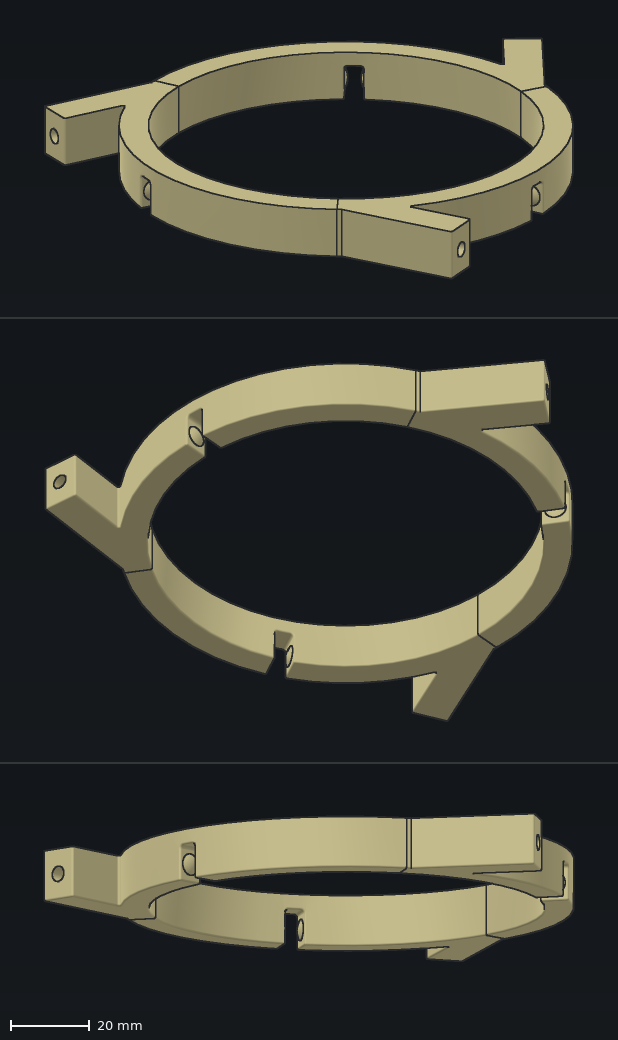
import cadquery as cq
import math

SEGMENT_COUNT = 3
SEGMENT_ANGLE = 360 / SEGMENT_COUNT
OUTER_DIAMETER = 115.0
INNER_DIAMETER = 100.0
HEIGHT = 13.0
FIRST_SEAM_ANGLE = 180

ARM_WIDTH = 9.9
ARM_LENGTH = 31.8
ARM_ANGLE = 26.5
ARM_OFFSET = 1.2
CROTCH_RADIUS = 0.5
ARM_HOLE_DIAMETER = 3.9
ARM_HOLE_DEPTH = 20.1

SLOT_WIDTH = 5.0
SLOT_HEIGHT = 9.1
SLOT_CORNER_RADIUS = 1.0

EDGE_RADIUS = 0.5

BUMP_DIAMETER = 5.5
BUMP_HEIGHT = 0.8

OUTER_RADIUS = OUTER_DIAMETER / 2
INNER_RADIUS = INNER_DIAMETER / 2
MIDDLE_RADIUS = (OUTER_RADIUS + INNER_RADIUS) / 2
RING_THICKNESS = OUTER_RADIUS - INNER_RADIUS
BUMP_CENTRE_HEIGHT = SLOT_HEIGHT / 2
BUMP_SPHERE_RADIUS = ((BUMP_DIAMETER / 2) ** 2 + BUMP_HEIGHT ** 2) / (2 * BUMP_HEIGHT)
TOLERANCE = 0.001


def polar(radius, angle):
    """Point at a radius and an angle in degrees around the ring axis."""
    return (radius * math.cos(math.radians(angle)), radius * math.sin(math.radians(angle)))


def offset_point(point, direction, distance):
    """Point moved by a distance along a direction."""
    return (point[0] + direction[0] * distance, point[1] + direction[1] * distance)


ALONG_ARM = polar(1, 90 - ARM_ANGLE)
ACROSS_ARM = polar(1, 180 - ARM_ANGLE)
ARM_ROOT = (math.sqrt(OUTER_RADIUS ** 2 - ARM_OFFSET ** 2), ARM_OFFSET)
ARM_TIP = offset_point(ARM_ROOT, ALONG_ARM, ARM_LENGTH)


def ring_sector():
    """Plain part of the ring from the +X axis to the next seam."""
    half_angle = SEGMENT_ANGLE / 2
    return (
        cq.Workplane("XY")
        .moveTo(*polar(INNER_RADIUS, 0))
        .lineTo(*polar(OUTER_RADIUS, 0))
        .threePointArc(polar(OUTER_RADIUS, half_angle), polar(OUTER_RADIUS, SEGMENT_ANGLE))
        .lineTo(*polar(INNER_RADIUS, SEGMENT_ANGLE))
        .threePointArc(polar(INNER_RADIUS, half_angle), polar(INNER_RADIUS, 0))
        .close()
        .extrude(HEIGHT)
    )


def arm():
    """Straight bar with a rounded tip, whose root is buried in the ring but stays clear of the bore."""
    inner_tip = offset_point(ARM_TIP, ACROSS_ARM, ARM_WIDTH)
    inner_root = offset_point(ARM_ROOT, ACROSS_ARM, ARM_WIDTH)
    bar = cq.Workplane("XY").polyline([ARM_ROOT, ARM_TIP, inner_tip, inner_root]).close().extrude(HEIGHT)
    for x, y in (ARM_TIP, inner_tip):
        bar = bar.edges(cq.NearestToPointSelector((x, y, HEIGHT / 2))).fillet(EDGE_RADIUS)
    bore = cq.Workplane("XY").circle(MIDDLE_RADIUS).extrude(HEIGHT)
    return bar.cut(bore)


def crotch_edge(body):
    """Upright edge where the inner side of the arm meets the outer wall."""
    side_start = offset_point(ARM_ROOT, ACROSS_ARM, ARM_WIDTH)
    along = side_start[0] * ALONG_ARM[0] + side_start[1] * ALONG_ARM[1]
    gap = OUTER_RADIUS ** 2 - side_start[0] ** 2 - side_start[1] ** 2
    reach = -along + math.sqrt(along ** 2 + gap)
    x, y = offset_point(side_start, ALONG_ARM, reach)
    return body.edges(cq.NearestToPointSelector((x, y, HEIGHT / 2)))


def arm_hole():
    """Blind hole along the arm, in the middle of its end face."""
    x, y = offset_point(ARM_TIP, ACROSS_ARM, ARM_WIDTH / 2)
    into_arm = cq.Vector(-ALONG_ARM[0], -ALONG_ARM[1], 0)
    hole = cq.Solid.makeCylinder(
        ARM_HOLE_DIAMETER / 2, ARM_HOLE_DEPTH, cq.Vector(x, y, HEIGHT / 2), into_arm
    )
    return cq.Workplane(obj=hole)


def slot():
    """Slot cutter on the +X axis, with rounded upper corners."""
    return (
        cq.Workplane("XY")
        .box(2 * RING_THICKNESS, SLOT_WIDTH, SLOT_HEIGHT, centered=(True, True, False))
        .edges("|X and >Z")
        .fillet(SLOT_CORNER_RADIUS)
        .translate((MIDDLE_RADIUS, 0, 0))
    )


def is_slot_rim(edge):
    """True for an edge of the slot on the outer or inner wall, with the slot on the +X axis."""
    box = edge.BoundingBox()
    in_slot = max(abs(box.ymin), abs(box.ymax)) < SLOT_WIDTH / 2 + TOLERANCE
    on_one_wall = box.xlen < RING_THICKNESS / 2
    return in_slot and on_one_wall and box.zmax < SLOT_HEIGHT + TOLERANCE


def is_seam(edge):
    """True for a straight edge that points at the ring axis."""
    start = edge.startPoint()
    end = edge.endPoint()
    return abs(start.x * end.y - start.y * end.x) < TOLERANCE


def round_edges(body):
    """Round the slot rims and every bottom edge except those on the seams."""
    rims = [edge for edge in body.edges().vals() if is_slot_rim(edge)]
    bottom = [edge for edge in body.faces("<Z").edges().vals() if not is_seam(edge)]
    return body.newObject(rims + bottom).fillet(EDGE_RADIUS)


def slot_bump(side):
    """Spherical cap on one side wall of the slot, on the +X axis."""
    wall = side * SLOT_WIDTH / 2
    crown = wall - side * BUMP_HEIGHT
    sphere_centre = crown + side * BUMP_SPHERE_RADIUS
    half_cap_angle = math.asin(BUMP_DIAMETER / 2 / BUMP_SPHERE_RADIUS) / 2
    arc_middle = (
        BUMP_SPHERE_RADIUS * math.sin(half_cap_angle),
        sphere_centre - side * BUMP_SPHERE_RADIUS * math.cos(half_cap_angle),
    )
    cap = (
        cq.Workplane("XY")
        .moveTo(0, crown)
        .threePointArc(arc_middle, (BUMP_DIAMETER / 2, wall))
        .lineTo(0, wall)
        .close()
        .revolve(360, (0, 0), (0, 1))
    )
    return cap.translate((MIDDLE_RADIUS, 0, BUMP_CENTRE_HEIGHT))


def ring_segment():
    """One segment, with its slot on the +X axis."""
    body = ring_sector().union(arm())
    body = crotch_edge(body).fillet(CROTCH_RADIUS)
    body = body.cut(arm_hole())
    body = body.rotate((0, 0, 0), (0, 0, 1), -SEGMENT_ANGLE / 2)
    body = body.cut(slot())
    body = round_edges(body)
    for side in (-1, 1):
        body = body.union(slot_bump(side))
    return body


ring_segments = []
for index in range(SEGMENT_COUNT):
    slot_angle = FIRST_SEAM_ANGLE + (index + 0.5) * SEGMENT_ANGLE
    ring_segments.append(ring_segment().rotate((0, 0, 0), (0, 0, 1), slot_angle))

result = cq.Compound.makeCompound([segment.val() for segment in ring_segments])